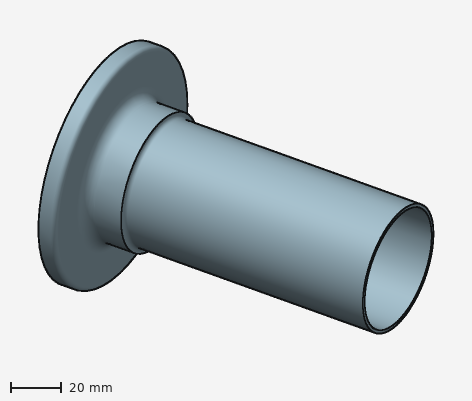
import cadquery as cq

total_length = 135.0
bore_diameter = 51.0
tube_diameter = 54.0
hub_diameter = 59.0
flange_diameter = 102.0
flange_thickness = 8.0
flange_edge_radius = 2.0
hub_fillet_radius = 5.0
hub_end = 25.1
tube_fillet_radius = 1.8

bore_radius = bore_diameter / 2
tube_radius = tube_diameter / 2
hub_radius = hub_diameter / 2
flange_radius = flange_diameter / 2


def make_body():
    """Revolve the half section of flange, hub and tube about the X axis."""
    edge_start = flange_thickness - flange_edge_radius
    fillet_end = flange_thickness + hub_fillet_radius
    half_section = (
        cq.Workplane("XY")
        .moveTo(0, bore_radius)
        .lineTo(0, flange_radius)
        .lineTo(edge_start, flange_radius)
        .radiusArc((flange_thickness, flange_radius - flange_edge_radius), flange_edge_radius)
        .lineTo(flange_thickness, hub_radius + hub_fillet_radius)
        .radiusArc((fillet_end, hub_radius), -hub_fillet_radius)
        .lineTo(hub_end, hub_radius)
        .lineTo(hub_end, tube_radius + tube_fillet_radius)
        .radiusArc((hub_end + tube_fillet_radius, tube_radius), -tube_fillet_radius)
        .lineTo(total_length, tube_radius)
        .lineTo(total_length, bore_radius)
        .close()
    )
    return half_section.revolve(360, (0, 0, 0), (1, 0, 0))


result = make_body().translate((-total_length / 2, 0, 0))